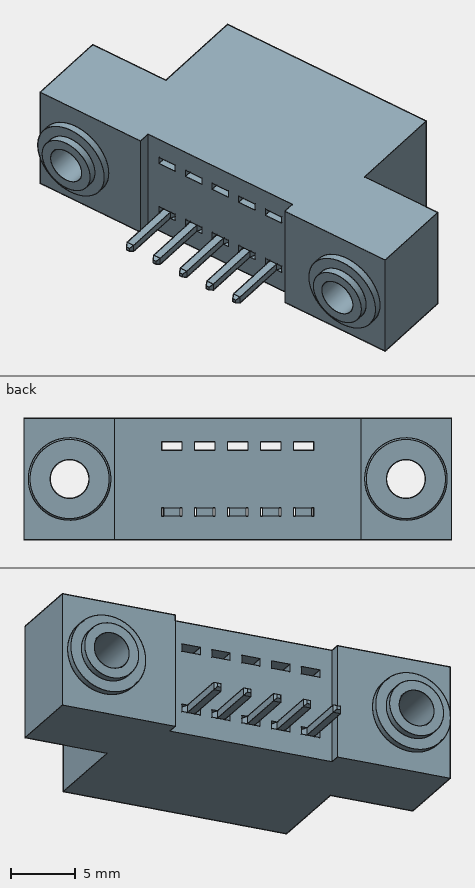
import cadquery as cq
import math

length = 33.02
height = 9.4
ear_depth = 6.87
body_depth = 14.93
body_width = 19.02
recess_width = 13.8
recess_depth = 1.0

contact_count = 5
pitch = 2.55
row_offset = pitch
slot_width = 1.55
slot_height = 0.63

pin_width = slot_height
pin_tip_y = -4.13
tip_length = 0.33
tip_width = 0.3
blade_width = 1.3
flare_start_y = recess_depth
flare_angle = 25.0
blade_end_y = ear_depth

bushing_spacing = 25.95
bore_diameter = 2.97
neck_diameter = 3.47
flange_diameter = 6.37
boss_diameter = 4.6
flange_thickness = 0.6
flange_gap = 0.2
boss_length = 0.63
rim_chamfer = 0.13

contact_places = [(i - (contact_count - 1) / 2) * pitch for i in range(contact_count)]
bushing_places = [-bushing_spacing / 2, bushing_spacing / 2]


def make_block(width, y_start, y_end, block_height, x=0.0, z=0.0):
    """Box centred on x and z, running from y_start to y_end."""
    depth = y_end - y_start
    return cq.Workplane("XY").box(width, depth, block_height).translate((x, y_start + depth / 2, z))


def make_disc(diameter, y_start, y_end, x=0.0):
    """Cylinder along Y at mid-height, running from y_start to y_end."""
    disc = cq.Workplane("XZ", origin=(x, y_start, 0)).circle(diameter / 2)
    return disc.extrude(y_start - y_end)


def make_housing():
    housing = make_block(length, 0, ear_depth, height)
    housing = housing.union(make_block(body_width, 0, body_depth, height))
    housing = housing.cut(make_block(recess_width, 0, recess_depth, height))
    for x in contact_places:
        for z in (-row_offset, row_offset):
            housing = housing.cut(make_block(slot_width, 0, body_depth, slot_height, x, z))
    for x in bushing_places:
        housing = housing.cut(make_disc(neck_diameter, 0, ear_depth, x))
    return housing


def make_bushing(x):
    front_flange_y = -flange_gap - flange_thickness
    front_y = front_flange_y - boss_length
    back_y = ear_depth + flange_thickness
    back_flange = make_disc(flange_diameter, ear_depth, back_y, x).faces(">Y").chamfer(rim_chamfer)
    bushing = make_disc(neck_diameter, -flange_gap, ear_depth, x)
    bushing = bushing.union(make_disc(flange_diameter, front_flange_y, -flange_gap, x))
    bushing = bushing.union(make_disc(boss_diameter, front_y, front_flange_y, x))
    bushing = bushing.union(back_flange)
    return bushing.cut(make_disc(bore_diameter, front_y, back_y, x))


def make_pin(x):
    """Square pin with a pyramid tip, flaring into a flat blade inside its slot."""
    shaft_start_y = pin_tip_y + tip_length
    tip = (
        cq.Workplane("XZ", origin=(0, shaft_start_y, 0))
        .rect(pin_width, pin_width)
        .workplane(offset=tip_length)
        .rect(tip_width, tip_width)
        .loft(ruled=True)
    )
    flare_length = (blade_width - pin_width) / 2 / math.tan(math.radians(flare_angle))
    flare_end_y = flare_start_y + flare_length
    right_side = [
        (pin_width / 2, shaft_start_y),
        (pin_width / 2, flare_start_y),
        (blade_width / 2, flare_end_y),
        (blade_width / 2, blade_end_y),
    ]
    left_side = [(-px, py) for px, py in reversed(right_side)]
    shaft = (
        cq.Workplane("XY")
        .polyline(right_side + left_side)
        .close()
        .extrude(pin_width / 2, both=True)
    )
    return shaft.union(tip).translate((x, 0, -row_offset))


housing = make_housing()
bushings = [make_bushing(x) for x in bushing_places]
pins = [make_pin(x) for x in contact_places]

result = cq.Compound.makeCompound([
    housing.val(),
    *[bushing.val() for bushing in bushings],
    *[pin.val() for pin in pins],
])